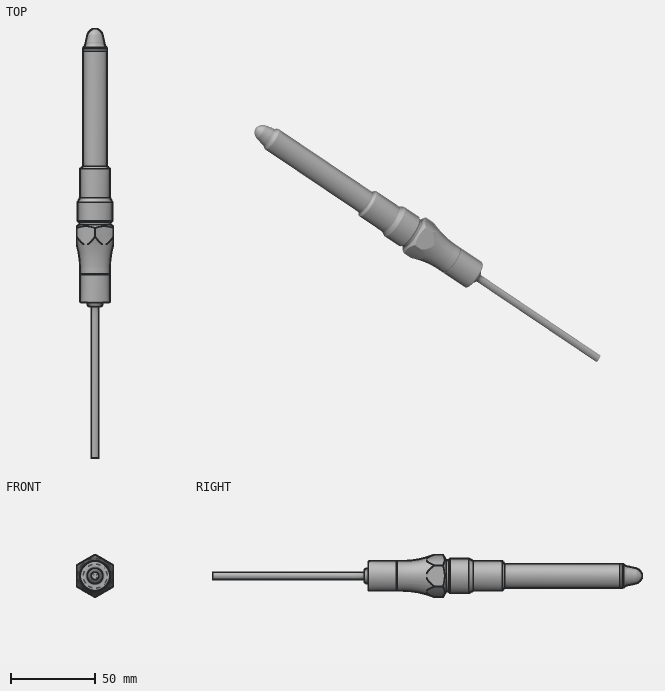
import cadquery as cq
import math


ROD_DIA = 4.53
ROD_LENGTH = 90.0
BOSS_DIA = 9.3
BOSS_END_DIA = 6.0
BOSS_LENGTH = 2.5
BOSS_STRAIGHT = 0.35
BOSS_BULGE = 0.5

SLEEVE_DIA = 18.0
SLEEVE_FILLET = 1.05
SLEEVE_LENGTH = 16.6

SHANK_DIA = 18.0
SHANK_CHAMFER_DEPTH = 0.3
SHANK_CHAMFER_LENGTH = 0.7
FLARE_START_Y = 21.0
FLARE_END_Y = 39.1
FLARE_HOLLOW = 0.86

HEX_FLATS = 22.0
HEX_CORNER_DIA = 25.2
HEX_FRONT_CORNER_Y = 44.5
HEX_FRONT_Y = 46.35

NECK_DIA = 19.0
COLLAR_DIA = 20.95
COLLAR_REAR_Y = 47.78
COLLAR_REAR_CHAMFER = 1.0
COLLAR_CONE_START_Y = 59.7
COLLAR_CONE_END_Y = 62.5

FRONT_SLEEVE_DIA = 18.0
FRONT_SLEEVE_END_Y = 78.8
FRONT_SLEEVE_EDGE = 0.9
FRONT_SLEEVE_EDGE_DIA = 17.9
FRONT_SLEEVE_TIP_Y = 81.14

TUBE_DIA = 14.5
BAND_START_Y = 149.6
BAND_END_Y = 151.2
BAND_DIA = 14.6
TUBE_END_Y = 151.9
TUBE_END_DIA = 14.0

NOSE_BASE_DIA = 11.3
NOSE_BASE_Y = 155.0
NOSE_FLARE_HOLLOW = 0.35
DOME_DIA = 9.2
DOME_Y = 159.6
DOME_END_Y = 163.05
TIP_DIA = 2.3
DOME_BULGE = 0.5


def arc_middle(start, end, bulge):
    """Middle point of an arc from start to end, off its chord by bulge to the right-hand side."""
    chord_x = end[0] - start[0]
    chord_y = end[1] - start[1]
    chord = math.hypot(chord_x, chord_y)
    middle_x = (start[0] + end[0]) / 2 + bulge * chord_y / chord
    middle_y = (start[1] + end[1]) / 2 - bulge * chord_x / chord
    return middle_x, middle_y


def quarter_arc_middle(radius, fillet):
    """Middle point of a fillet between the plane Y = 0 and a cylinder of the given radius."""
    inset = fillet * (1 - math.sqrt(0.5))
    return radius - inset, inset


def turn(profile):
    """Close a half profile onto the Y axis and revolve it."""
    return profile.close().revolve(360, (0, 0, 0), (0, 1, 0))


def make_rod_and_boss():
    """Thin rod leaving the sleeve through a rounded boss."""
    boss_end = (BOSS_END_DIA / 2, -BOSS_LENGTH)
    boss_base = (BOSS_DIA / 2, -BOSS_STRAIGHT)
    rod_end_y = -BOSS_LENGTH - ROD_LENGTH
    profile = (
        cq.Workplane("XY")
        .moveTo(0, rod_end_y)
        .lineTo(ROD_DIA / 2, rod_end_y)
        .lineTo(ROD_DIA / 2, -BOSS_LENGTH)
        .lineTo(*boss_end)
        .threePointArc(arc_middle(boss_end, boss_base, BOSS_BULGE), boss_base)
        .lineTo(BOSS_DIA / 2, 0)
        .lineTo(0, 0)
    )
    return turn(profile)


def make_shank():
    """Rear sleeve, flared shank and the turned envelope of the hexagon."""
    sleeve_radius = SLEEVE_DIA / 2
    shank_radius = SHANK_DIA / 2
    fillet_end = (sleeve_radius, SLEEVE_FILLET)
    flare_start = (shank_radius, FLARE_START_Y)
    flare_end = (HEX_CORNER_DIA / 2, FLARE_END_Y)
    fillet_middle = quarter_arc_middle(sleeve_radius, SLEEVE_FILLET)
    profile = (
        cq.Workplane("XY")
        .moveTo(0, 0)
        .lineTo(sleeve_radius - SLEEVE_FILLET, 0)
        .threePointArc(fillet_middle, fillet_end)
        .lineTo(sleeve_radius, SLEEVE_LENGTH)
        .lineTo(shank_radius - SHANK_CHAMFER_DEPTH, SLEEVE_LENGTH)
        .lineTo(shank_radius, SLEEVE_LENGTH + SHANK_CHAMFER_LENGTH)
        .lineTo(*flare_start)
        .threePointArc(arc_middle(flare_start, flare_end, -FLARE_HOLLOW), flare_end)
        .lineTo(HEX_CORNER_DIA / 2, HEX_FRONT_CORNER_Y)
        .lineTo(NECK_DIA / 2, HEX_FRONT_Y)
        .lineTo(0, HEX_FRONT_Y)
    )
    return turn(profile)


def make_hex_prism():
    """Hexagonal bar as long as the shank, with corners at +Z and -Z."""
    across_corners = HEX_FLATS / math.cos(math.pi / 6)
    return (
        cq.Workplane("XZ")
        .transformed(rotate=(0, 0, 90))
        .polygon(6, across_corners)
        .extrude(-HEX_FRONT_Y)
    )


def make_collar_and_front_sleeve():
    """Neck, chamfered collar and the front sleeve that tapers onto the tube."""
    sleeve_radius = FRONT_SLEEVE_DIA / 2
    profile = (
        cq.Workplane("XY")
        .moveTo(0, HEX_FRONT_Y)
        .lineTo(NECK_DIA / 2, HEX_FRONT_Y)
        .lineTo(NECK_DIA / 2, COLLAR_REAR_Y)
        .lineTo(COLLAR_DIA / 2, COLLAR_REAR_Y + COLLAR_REAR_CHAMFER)
        .lineTo(COLLAR_DIA / 2, COLLAR_CONE_START_Y)
        .lineTo(sleeve_radius, COLLAR_CONE_END_Y)
        .lineTo(sleeve_radius, FRONT_SLEEVE_END_Y)
        .lineTo(FRONT_SLEEVE_EDGE_DIA / 2, FRONT_SLEEVE_END_Y + FRONT_SLEEVE_EDGE)
        .lineTo(TUBE_DIA / 2, FRONT_SLEEVE_TIP_Y)
        .lineTo(0, FRONT_SLEEVE_TIP_Y)
    )
    return turn(profile)


def make_tube_and_nose():
    """Long tube with a slightly raised end band, hollow flare, conical nose and dome."""
    tube_end = (TUBE_END_DIA / 2, TUBE_END_Y)
    nose_base = (NOSE_BASE_DIA / 2, NOSE_BASE_Y)
    dome_base = (DOME_DIA / 2, DOME_Y)
    tip = (TIP_DIA / 2, DOME_END_Y)
    profile = (
        cq.Workplane("XY")
        .moveTo(0, FRONT_SLEEVE_TIP_Y)
        .lineTo(TUBE_DIA / 2, FRONT_SLEEVE_TIP_Y)
        .lineTo(TUBE_DIA / 2, BAND_START_Y)
        .lineTo(BAND_DIA / 2, BAND_START_Y)
        .lineTo(BAND_DIA / 2, BAND_END_Y)
        .lineTo(*tube_end)
        .threePointArc(arc_middle(tube_end, nose_base, -NOSE_FLARE_HOLLOW), nose_base)
        .lineTo(*dome_base)
        .threePointArc(arc_middle(dome_base, tip, DOME_BULGE), tip)
        .lineTo(0, DOME_END_Y)
    )
    return turn(profile)


shank = make_shank().intersect(make_hex_prism())
result = (
    shank.union(make_rod_and_boss())
    .union(make_collar_and_front_sleeve())
    .union(make_tube_and_nose())
)